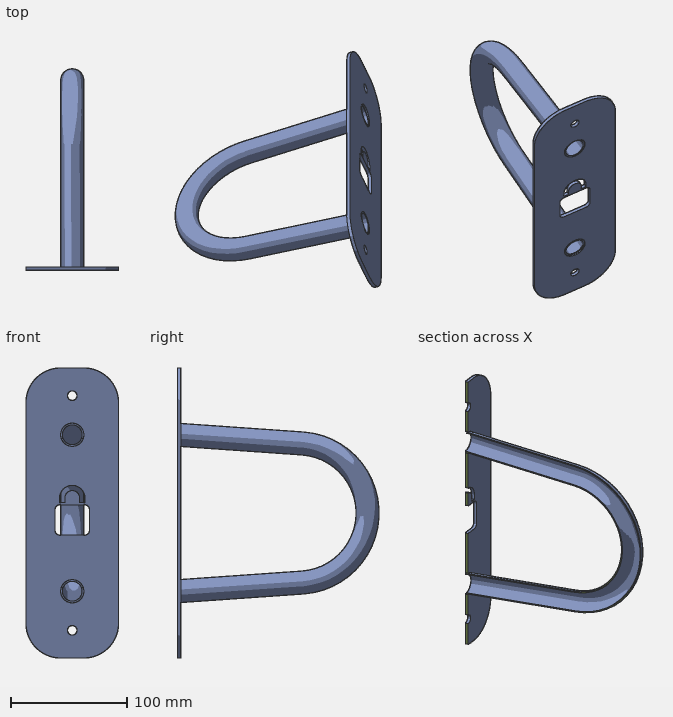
import cadquery as cq
import math

plate_width = 80.0
plate_height = 250.0
plate_thickness = 3.0
plate_corner_radius = 30.0
screw_hole_diameter = 8.0
screw_hole_offset = 101.0

tube_diameter = 20.0
tube_wall = 1.5
bend_radius = 60.0
leg_splay = math.radians(4.0)
overall_depth = 173.71

lock_body_width = 29.5
lock_body_top = 7.0
lock_body_bottom = -19.0
lock_body_corner_radius = 4.0
shackle_outer_radius = 10.8
shackle_inner_radius = 6.3
shackle_centre_z = 13.0
shackle_bottom = 9.0

tube_radius = tube_diameter / 2
bend_centre_y = overall_depth - tube_radius - bend_radius
joint_y = bend_centre_y + bend_radius * math.sin(leg_splay)
joint_z = bend_radius * math.cos(leg_splay)
tube_end_y = tube_radius * math.sin(leg_splay)


def leg_z(y):
    """Height of the upper leg's centreline at depth y."""
    return joint_z + (joint_y - y) * math.tan(leg_splay)


def sweep_tube(end_y, *radii):
    """Sweep concentric circles along the bent centreline, its square-cut ends centred at end_y."""
    end_z = leg_z(end_y)
    path = (
        cq.Workplane("YZ")
        .moveTo(end_y, -end_z)
        .lineTo(joint_y, -joint_z)
        .threePointArc((bend_centre_y + bend_radius, 0), (joint_y, joint_z))
        .lineTo(end_y, end_z)
    )
    end_plane = cq.Plane(
        origin=(0, end_y, -end_z),
        xDir=(1, 0, 0),
        normal=(0, math.cos(leg_splay), math.sin(leg_splay)),
    )
    profile = cq.Workplane(end_plane)
    for radius in radii:
        profile = profile.circle(radius)
    return profile.sweep(path)


def plate_cutter(sketch):
    """Extrude a sketch drawn on the outer face through the plate."""
    return sketch.extrude(-plate_thickness)


def outer_face():
    """Sketch plane on the outer face: local x is X, local y is Z."""
    return cq.Workplane("XZ")


def make_lock_body():
    height = lock_body_top - lock_body_bottom
    middle = (lock_body_top + lock_body_bottom) / 2
    body = plate_cutter(outer_face().center(0, middle).rect(lock_body_width, height))
    return body.edges("|Y").fillet(lock_body_corner_radius)


def arch(radius):
    """Arch standing on shackle_bottom, with straight sides and a round top."""
    return plate_cutter(
        outer_face()
        .moveTo(-radius, shackle_bottom)
        .lineTo(-radius, shackle_centre_z)
        .threePointArc((0, shackle_centre_z + radius), (radius, shackle_centre_z))
        .lineTo(radius, shackle_bottom)
        .close()
    )


def make_lock_shackle():
    return arch(shackle_outer_radius).cut(arch(shackle_inner_radius))


def make_screw_holes():
    centres = [(0, side * screw_hole_offset) for side in (-1, 1)]
    return plate_cutter(outer_face().pushPoints(centres).circle(screw_hole_diameter / 2))


def make_plate():
    blank = plate_cutter(outer_face().rect(plate_width, plate_height))
    blank = blank.edges("|Y").fillet(plate_corner_radius)
    tube_holes = sweep_tube(-plate_thickness, tube_radius)
    return blank.cut(make_screw_holes()).cut(make_lock_body()).cut(make_lock_shackle()).cut(tube_holes)


def make_tube():
    return sweep_tube(tube_end_y, tube_radius, tube_radius - tube_wall)


plate = make_plate()
tube = make_tube()

result = cq.Compound.makeCompound([plate.val(), tube.val()])